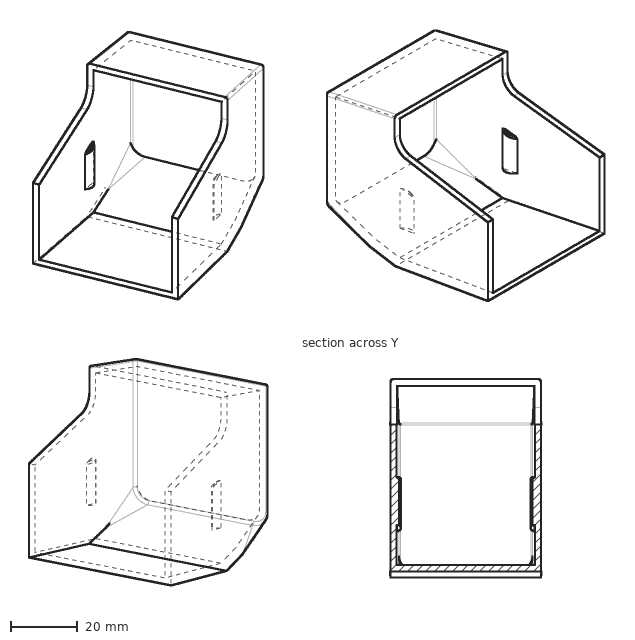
import cadquery as cq
import math

length = 75.0
front_width = 46.65
height = 59.55
wall = 2.0
side_draft = 1.0

front_bottom = 14.55
floor_break = 42.75
rim_height = 45.9
roof_front = 43.05
roof_back = 47.55
rim_radius = 5.0
edge_radius = 1.0
inner_edge_radius = 0.5

corner_radius = 5.0
corner_start = 54.75
tip_radius = 0.015

rib_y = 39.8
rib_radius = 5.0
rib_projection = 1.2
rib_bottom = 14.9
rib_top = 30.15
rib_chamfer = 0.5

floor_angle = math.atan2(front_bottom, floor_break)
roof_angle = math.atan2(height - roof_back, length - roof_front)
draft_slope = math.tan(math.radians(side_draft))
overlap = 0.75


def half_width(y):
    return front_width / 2 - y * draft_slope


def side_prism(outline):
    """Extrude a YZ wire across the full width."""
    return outline.extrude(front_width / 2 + overlap, both=True)


def plan_prism(inset):
    """Tapered plan, inset from each side wall, through the full height."""
    front = half_width(-overlap) - inset
    back = half_width(length + overlap) - inset
    return (
        cq.Workplane("XY")
        .polyline([
            (-front, -overlap),
            (front, -overlap),
            (back, length + overlap),
            (-back, length + overlap),
        ])
        .close()
        .extrude(2 * height)
    )


def side_outline():
    """Outline of the hood before the front opening is cut."""
    return (
        cq.Workplane("YZ")
        .polyline([
            (0, front_bottom),
            (floor_break, 0),
            (length, 0),
            (length, roof_back),
            (0, roof_back + length * math.tan(roof_angle)),
        ])
        .close()
    )


def corner_profile(y, radius, inset):
    """Area outside a quarter circle in the lower +X corner at a given Y."""
    side = half_width(y) - inset
    start = side - radius
    middle = radius * math.sqrt(0.5)
    outer = side + radius
    return (
        cq.Workplane("XZ", origin=(0, y, inset))
        .moveTo(start, 0)
        .threePointArc((start + middle, radius - middle), (side, radius))
        .lineTo(outer, radius)
        .lineTo(outer, -radius)
        .lineTo(start, -radius)
        .close()
        .val()
    )


def corner_cuts(inset):
    """Cutters that round both lower back corners by a growing radius."""
    growth = (corner_radius - tip_radius) / (length - corner_start)
    end_y = length + overlap
    end_radius = corner_radius + growth * overlap
    tip = corner_profile(corner_start, tip_radius, inset)
    end = corner_profile(end_y, end_radius, inset)
    cut = cq.Workplane(obj=cq.Solid.makeLoft([tip, end], True))
    return cut.union(cut.mirror("YZ"))


def front_opening():
    """Clear everything above the rim, ahead of the roof."""
    opening = (
        cq.Workplane("YZ")
        .moveTo(-overlap, rim_height)
        .lineTo(roof_front - rim_radius, rim_height)
        .radiusArc((roof_front, rim_height + rim_radius), -rim_radius)
        .lineTo(roof_front, 2 * height)
        .lineTo(-overlap, 2 * height)
        .close()
    )
    return side_prism(opening)


def outer_body():
    """Solid hood with all roof and back edges rounded."""
    body = side_prism(side_outline()).intersect(plan_prism(0))
    body = body.cut(corner_cuts(0))
    roof_sides = body.edges(cq.selectors.BoxSelector(
        (-front_width, overlap, roof_back),
        (front_width, length - overlap, 2 * height),
    ))
    back = body.faces(">Y").edges()
    return body.newObject(roof_sides.vals() + back.vals()).fillet(edge_radius)


def cavity():
    """Inside of the hood, extended through the front mouth."""
    floor_lift = wall / math.cos(floor_angle)
    roof_drop = wall / math.cos(roof_angle)
    inner_back = length - wall
    inner_break = floor_break + wall * math.tan(floor_angle / 2)
    roof_end = height + (roof_front - inner_back) * math.tan(roof_angle) - roof_drop
    mouth = -overlap
    roof_mouth = height + (roof_front - mouth) * math.tan(roof_angle) - roof_drop
    floor_mouth = front_bottom + floor_lift + overlap * math.tan(floor_angle)
    outline = (
        cq.Workplane("YZ")
        .polyline([
            (mouth, floor_mouth),
            (inner_break, wall),
            (inner_back, wall),
            (inner_back, roof_end),
            (mouth, roof_mouth),
        ])
        .close()
    )
    inside = side_prism(outline).intersect(plan_prism(wall))
    inside = inside.faces(">Y").edges("not <Z").fillet(inner_edge_radius)
    return inside.cut(corner_cuts(wall))


def ribs():
    """Shallow round ribs, chamfered on top and cut parallel to the sloping floor below."""
    inner_side = half_width(rib_y) - wall
    center_x = inner_side - rib_projection + rib_radius
    blank = (
        cq.Workplane("XY", origin=(center_x, rib_y, 0))
        .circle(rib_radius)
        .extrude(rib_top)
        .faces(">Z")
        .chamfer(rib_chamfer)
    )
    rise = rib_radius * math.tan(floor_angle)
    below = side_prism(
        cq.Workplane("YZ")
        .polyline([
            (rib_y - rib_radius, rib_bottom + rise),
            (rib_y + rib_radius, rib_bottom - rise),
            (rib_y + rib_radius, -overlap),
            (rib_y - rib_radius, -overlap),
        ])
        .close()
    )
    rib = blank.cut(below).intersect(plan_prism(wall / 2))
    return rib.union(rib.mirror("YZ"))


result = outer_body().cut(cavity()).cut(front_opening()).union(ribs())